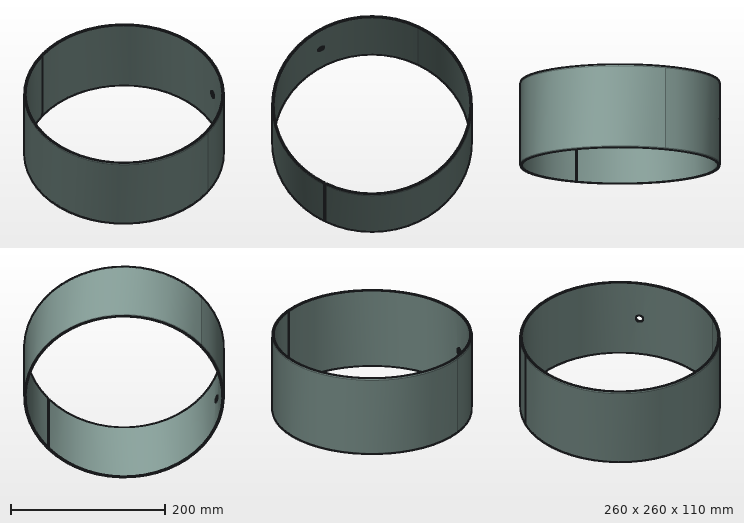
import cadquery as cq

outer_diameter = 260.0
height = 110.0
wall = 2.5
outer_bevel_height = 2.0
outer_bevel_depth = 0.65
inner_bevel = 0.5

slit_width = 2.0

hole_diameter = 10.0
hole_angle = 59.0

outer_radius = outer_diameter / 2
inner_radius = outer_radius - wall


def make_band():
    """Revolve the wall section, with all four rim corners bevelled."""
    rim_outer_radius = outer_radius - outer_bevel_depth
    rim_inner_radius = inner_radius + inner_bevel
    section = (
        cq.Workplane("XZ")
        .moveTo(rim_inner_radius, 0)
        .lineTo(rim_outer_radius, 0)
        .lineTo(outer_radius, outer_bevel_height)
        .lineTo(outer_radius, height - outer_bevel_height)
        .lineTo(rim_outer_radius, height)
        .lineTo(rim_inner_radius, height)
        .lineTo(inner_radius, height - inner_bevel)
        .lineTo(inner_radius, inner_bevel)
        .close()
    )
    return section.revolve(360, (0, 0, 0), (0, 1, 0))


def make_slit():
    """Block that opens the band along its full height on the -X side."""
    return cq.Workplane("XY").box(
        outer_diameter, slit_width, height, centered=(False, False, False)
    ).translate((-outer_diameter, 0, 0))


def make_hole():
    """Cylinder from the axis outward through one side of the wall."""
    return (
        cq.Workplane("YZ")
        .center(0, height / 2)
        .circle(hole_diameter / 2)
        .extrude(outer_diameter)
        .rotate((0, 0, 0), (0, 0, 1), hole_angle)
    )


result = make_band().cut(make_slit()).cut(make_hole())